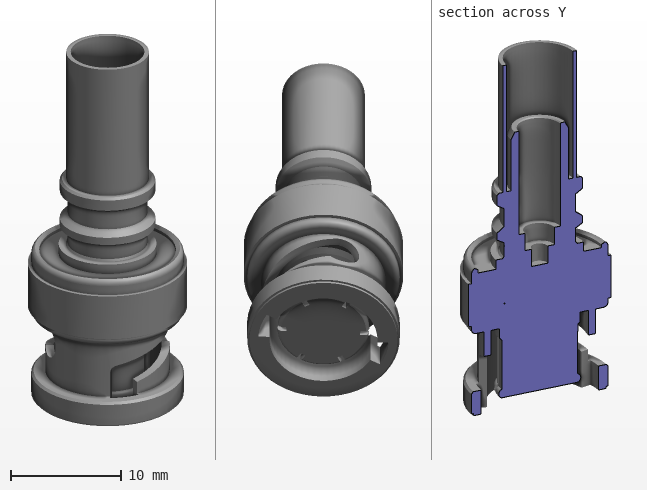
import cadquery as cq
import math


total_height = 34.5
body_bottom = 8.18
body_top = 14.75

ring_radius = 6.95
ring_height = 2.45
ring_chamfer = 0.2

barrel_radius = 5.65
barrel_bore_radius = 4.9
bore_top = body_bottom

grip_radius = 7.25
grip_bottom = 9.0
grip_top = 13.3
body_radius = 6.95
body_lower_round = 0.52
body_upper_round_start = 14.2
rim_crest_radius = 6.6
recess_radius = 6.2
recess_floor = 14.25
recess_chamfer_bottom = 14.55

hub_radius = 4.45
hub_top = 15.18
neck_radius = 3.62
neck_flare = 0.17
flange_radius = 4.35
lower_flange_bottom = 16.7
lower_flange_edge_bottom = 17.1
lower_flange_edge_top = 17.85
lower_flange_top = 18.35
upper_flange_bottom = 20.1
upper_flange_edge_bottom = 20.55
upper_flange_top = 21.8
upper_flange_chamfer = 0.2

tube_radius = 3.75
tube_bore_radius = 3.35
stem_radius = 2.93
stem_tip_radius = 2.55
stem_top = 27.6
stem_taper_height = 0.7
stem_bore_radius = 2.07
stem_bore_chamfer = 0.1
insulator_bore_radius = 1.5
contact_bore_radius = 0.8
stem_bore_floor = 17.25
insulator_bore_floor = 15.52
contact_bore_floor = 13.8

post_radius = 3.85
post_bottom = 1.2
bead_radius = 4.17
bead_height = 0.9
post_shoulder_radius = 4.1
post_shoulder_bottom = 7.0
post_shoulder_taper = 0.25
slit_count = 6
slit_width = 0.5
slit_floor_radius = 3.35
slit_angle = 47.0

slot_count = 2
entry_half_angle = 13.0
slot_width = 2.38
slot_pitch = 8.2
slot_entry_mid_height = 4.52
slot_run_angle = 90.0
slot_corner_radius = 0.75
detent_half_width = 1.7
detent_half_height = 1.52
detent_height = 6.18
detent_angle = 91.7

cut_inner_radius = 4.5
cut_outer_radius = 5.95


def revolve_profile(outline):
    return outline.close().revolve(360, (0, 0, 0), (0, 1, 0))


def make_mating_end():
    """Barrel and its retaining ring, bored from below."""
    step_radius = ring_radius - ring_chamfer
    return revolve_profile(
        cq.Workplane("XZ")
        .moveTo(barrel_bore_radius, 0)
        .lineTo(step_radius, 0)
        .lineTo(step_radius, ring_chamfer)
        .lineTo(ring_radius, ring_chamfer)
        .lineTo(ring_radius, ring_height - ring_chamfer)
        .lineTo(ring_radius - ring_chamfer, ring_height)
        .lineTo(barrel_radius, ring_height)
        .lineTo(barrel_radius, body_bottom)
        .lineTo(barrel_bore_radius, body_bottom)
    )


def make_body_and_tube():
    """Grip, flanged neck and crimp tube as one turned piece."""
    return revolve_profile(
        cq.Workplane("XZ")
        .moveTo(0, body_bottom)
        .lineTo(body_radius - body_lower_round, body_bottom)
        .tangentArcPoint((body_radius, body_bottom + body_lower_round), relative=False)
        .lineTo(body_radius, grip_bottom)
        .lineTo(grip_radius, grip_bottom)
        .lineTo(grip_radius, grip_top)
        .lineTo(body_radius, grip_top)
        .lineTo(body_radius, body_upper_round_start)
        .tangentArcPoint((rim_crest_radius, body_top), relative=False)
        .lineTo(recess_radius, recess_chamfer_bottom)
        .lineTo(recess_radius, recess_floor)
        .lineTo(hub_radius, recess_floor)
        .lineTo(hub_radius, hub_top)
        .lineTo(neck_radius + neck_flare, hub_top)
        .lineTo(neck_radius, hub_top + neck_flare)
        .lineTo(neck_radius, lower_flange_bottom)
        .lineTo(flange_radius, lower_flange_edge_bottom)
        .lineTo(flange_radius, lower_flange_edge_top)
        .lineTo(neck_radius, lower_flange_top)
        .lineTo(neck_radius, upper_flange_bottom)
        .lineTo(flange_radius, upper_flange_edge_bottom)
        .lineTo(flange_radius, upper_flange_top - upper_flange_chamfer)
        .lineTo(flange_radius - upper_flange_chamfer, upper_flange_top)
        .lineTo(tube_radius, upper_flange_top)
        .lineTo(tube_radius, total_height)
        .lineTo(tube_bore_radius, total_height)
        .lineTo(tube_bore_radius, upper_flange_top)
        .lineTo(stem_radius, upper_flange_top)
        .lineTo(stem_radius, stem_top - stem_taper_height)
        .lineTo(stem_tip_radius, stem_top)
        .lineTo(stem_bore_radius + stem_bore_chamfer, stem_top)
        .lineTo(stem_bore_radius, stem_top - stem_bore_chamfer)
        .lineTo(stem_bore_radius, stem_bore_floor)
        .lineTo(insulator_bore_radius, stem_bore_floor)
        .lineTo(insulator_bore_radius, insulator_bore_floor)
        .lineTo(contact_bore_radius, insulator_bore_floor)
        .lineTo(contact_bore_radius, contact_bore_floor)
        .lineTo(0, contact_bore_floor)
    )


def make_contact_post():
    """Post hanging from the body, with a rounded bead at its tip and lengthwise slits."""
    post = revolve_profile(
        cq.Workplane("XZ")
        .moveTo(0, post_bottom)
        .lineTo(post_radius, post_bottom)
        .threePointArc(
            (bead_radius, post_bottom + bead_height / 2),
            (post_radius, post_bottom + bead_height),
        )
        .lineTo(post_radius, post_shoulder_bottom)
        .lineTo(post_shoulder_radius, post_shoulder_bottom + post_shoulder_taper)
        .lineTo(post_shoulder_radius, bore_top)
        .lineTo(0, bore_top)
    )
    slit_depth = bead_radius - slit_floor_radius
    slit = (
        cq.Workplane("XY")
        .center(slit_floor_radius + slit_depth / 2, 0)
        .rect(slit_depth, slit_width)
        .extrude(post_shoulder_bottom)
    )
    for index in range(slit_count):
        post = post.cut(slit.rotate((0, 0, 0), (0, 0, 1), slit_angle + index * 360 / slit_count))
    return post


def make_entry_cutter():
    """Upright wedge with radial sides, open at the mating end."""
    start = math.radians(180 - entry_half_angle)
    end = math.radians(180 + entry_half_angle)

    def polar(radius, angle):
        return (radius * math.cos(angle), radius * math.sin(angle))

    return (
        cq.Workplane("XY")
        .moveTo(*polar(cut_inner_radius, start))
        .lineTo(*polar(cut_outer_radius, start))
        .threePointArc((-cut_outer_radius, 0), polar(cut_outer_radius, end))
        .lineTo(*polar(cut_inner_radius, end))
        .threePointArc((-cut_inner_radius, 0), polar(cut_inner_radius, start))
        .close()
        .extrude(slot_entry_mid_height)
    )


def make_ramp_cutter():
    """Upright rectangle swept along a helix from the entry to the detent."""
    sweep_angle = entry_half_angle + slot_run_angle
    rise = slot_pitch * sweep_angle / 360
    start_height = slot_entry_mid_height - slot_pitch * entry_half_angle / 360
    helix = cq.Wire.makeHelix(slot_pitch, rise, barrel_radius)
    cut_depth = cut_outer_radius - cut_inner_radius
    ramp = (
        cq.Workplane("XZ")
        .center(cut_inner_radius + cut_depth / 2, 0)
        .rect(cut_depth, slot_width)
        .sweep(cq.Workplane(obj=helix), isFrenet=True)
    )
    upper_entry_edge = ramp.edges(cq.selectors.NearestToPointSelector((cut_inner_radius, 0, slot_width / 2)))
    ramp = ramp.newObject(upper_entry_edge.vals()).fillet(slot_corner_radius)
    return (
        ramp
        .rotate((0, 0, 0), (0, 0, 1), 180 - entry_half_angle)
        .translate((0, 0, start_height))
    )


def make_detent_cutter():
    """Round end pocket whose sides narrow toward the axis but whose height stays constant."""
    inner_half_width = detent_half_width * cut_inner_radius / barrel_radius
    outer_half_width = detent_half_width * cut_outer_radius / barrel_radius
    return (
        cq.Workplane("YZ", origin=(-cut_inner_radius, 0, detent_height))
        .ellipse(inner_half_width, detent_half_height)
        .workplane(offset=cut_inner_radius - cut_outer_radius)
        .ellipse(outer_half_width, detent_half_height)
        .loft(ruled=True)
        .rotate((0, 0, 0), (0, 0, 1), detent_angle)
    )


mating_end = make_mating_end()
for cutter in (make_entry_cutter(), make_ramp_cutter(), make_detent_cutter()):
    for index in range(slot_count):
        mating_end = mating_end.cut(cutter.rotate((0, 0, 0), (0, 0, 1), index * 360 / slot_count))

result = make_body_and_tube().union(mating_end).union(make_contact_post())